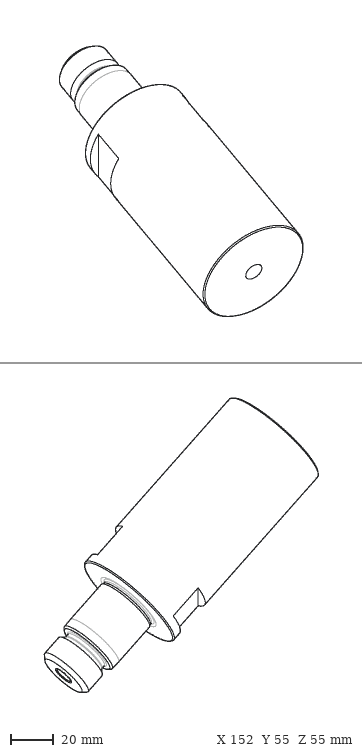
import cadquery as cq
import math

total_length = 152.0
shoulder_x = 47.0

body_radius = 27.5
body_chamfer = 0.6

tip_radius = 13.5
tip_chamfer = 2.1
tip_end_x = 12.2

groove_radius = 11.2
groove_end_x = 17.0
groove_fillet = 0.6

shank_radius = 15.0
land_radius = 14.9
land_chamfer = 0.9
land_end_x = 22.2

undercut_start_x = 44.5
undercut_radius = 14.6
undercut_face_depth = 0.3
undercut_face_radius = 16.9
undercut_ramp = 1.0
undercut_fillet = 0.8

bore_radius = 4.4
bore_chamfer = 0.5

flat_start_x = shoulder_x + 5.0
flat_length = 18.0
flat_half_distance = 23.1


def make_turned_body():
    """Revolve the stepped half profile about the X axis."""
    groove_flank = tip_radius - groove_radius
    flank_end_x = tip_end_x + groove_flank
    flank_angle = math.radians(45)
    flank_tangent = groove_fillet * math.tan(flank_angle / 2)
    flank_step = flank_tangent * math.cos(flank_angle)
    corner_x = shoulder_x + undercut_face_depth
    profile = (
        cq.Workplane("XY")
        .moveTo(0, 0)
        .lineTo(0, tip_radius - tip_chamfer)
        .lineTo(tip_chamfer, tip_radius)
        .lineTo(tip_end_x, tip_radius)
        .lineTo(flank_end_x - flank_step, groove_radius + flank_step)
        .radiusArc((flank_end_x + flank_tangent, groove_radius), -groove_fillet)
        .lineTo(groove_end_x - groove_fillet, groove_radius)
        .radiusArc((groove_end_x, groove_radius + groove_fillet), -groove_fillet)
        .lineTo(groove_end_x, land_radius - land_chamfer)
        .lineTo(groove_end_x + land_chamfer, land_radius)
        .lineTo(land_end_x, shank_radius)
        .lineTo(undercut_start_x, shank_radius)
        .lineTo(undercut_start_x + undercut_ramp, undercut_radius)
        .lineTo(corner_x - undercut_fillet, undercut_radius)
        .radiusArc((corner_x, undercut_radius + undercut_fillet), -undercut_fillet)
        .lineTo(shoulder_x, undercut_face_radius)
        .lineTo(shoulder_x, body_radius - body_chamfer)
        .lineTo(shoulder_x + body_chamfer, body_radius)
        .lineTo(total_length - body_chamfer, body_radius)
        .lineTo(total_length, body_radius - body_chamfer)
        .lineTo(total_length, 0)
        .close()
    )
    return profile.revolve(360, (0, 0, 0), (1, 0, 0))


def make_bore():
    """Through bore along X with a chamfered mouth at the tip."""
    return (
        cq.Workplane("XY")
        .moveTo(0, 0)
        .lineTo(0, bore_radius + bore_chamfer)
        .lineTo(bore_chamfer, bore_radius)
        .lineTo(total_length, bore_radius)
        .lineTo(total_length, 0)
        .close()
        .revolve(360, (0, 0, 0), (1, 0, 0))
    )


def make_flat_cutter(side):
    """Block removing one wrench flat; side is +1 or -1 along Y."""
    depth = body_radius - flat_half_distance
    center = (
        flat_start_x + flat_length / 2,
        side * (flat_half_distance + depth / 2),
        0,
    )
    return cq.Workplane("XY").box(flat_length, depth, 2 * body_radius).translate(center)


result = make_turned_body().cut(make_bore())
for side in (-1, 1):
    result = result.cut(make_flat_cutter(side))